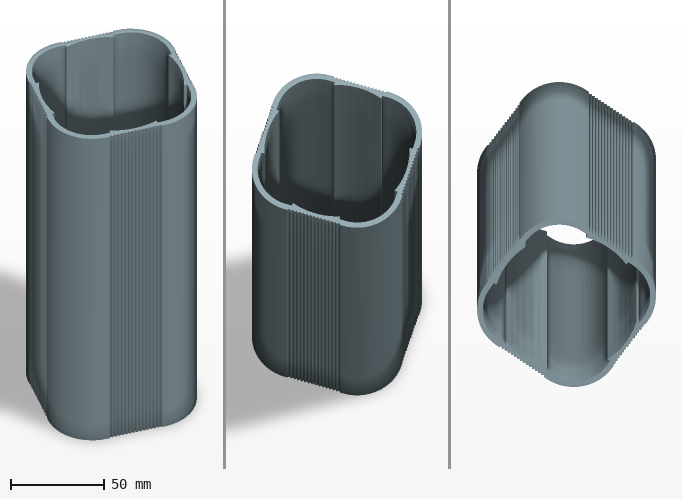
import cadquery as cq

length = 212.0
width = 83.0
corner_radius = 25.0
inner_corner_radius = 21.6
wall = 3.2

pad_half_width = 13.4
pad_edge_thickness = 4.9
pad_middle_thickness = 2.5

groove_count = 15
groove_pitch = 2.0
groove_depth = 1.0

half_width = width / 2
side_count = 4
side_angle = 360 / side_count


def rounded_square_bar(size, radius):
    """Full-length square bar with rounded lengthwise edges."""
    return cq.Workplane("XY").rect(size, size).extrude(length).edges("|Z").fillet(radius)


def pad_strip():
    """Block on the +Y side, as wide as the pad and as thick as the pad's edges."""
    center_y = half_width - pad_edge_thickness / 2
    return (
        cq.Workplane("XY")
        .center(0, center_y)
        .rect(2 * pad_half_width, pad_edge_thickness)
        .extrude(length)
    )


def pad_hollow():
    """Shallow arc-shaped sliver that thins the +Y pad toward its middle."""
    edge_y = half_width - pad_edge_thickness
    middle_y = half_width - pad_middle_thickness
    return (
        cq.Workplane("XY")
        .moveTo(-pad_half_width, edge_y)
        .threePointArc((0, middle_y), (pad_half_width, edge_y))
        .close()
        .extrude(length)
    )


def grip_grooves():
    """Zigzag of adjoining V-shaped grooves along the +Y side, leaving sharp teeth between them."""
    start_x = -groove_pitch * groove_count / 2
    points = [(start_x, half_width)]
    for index in range(groove_count):
        groove_x = start_x + index * groove_pitch
        points.append((groove_x + groove_pitch / 2, half_width - groove_depth))
        points.append((groove_x + groove_pitch, half_width))
    cutter_top = half_width + groove_depth
    points.append((-start_x, cutter_top))
    points.append((start_x, cutter_top))
    return cq.Workplane("XY").polyline(points).close().extrude(length)


def on_side(tool, side):
    """Turn a +Y side shape about the tube axis onto the given side."""
    return tool.rotate((0, 0, 0), (0, 0, 1), side * side_angle)


result = rounded_square_bar(width, corner_radius)
result = result.cut(rounded_square_bar(width - 2 * wall, inner_corner_radius))

for side in range(side_count):
    result = result.union(on_side(pad_strip(), side))
    result = result.cut(on_side(pad_hollow(), side))
    result = result.cut(on_side(grip_grooves(), side))